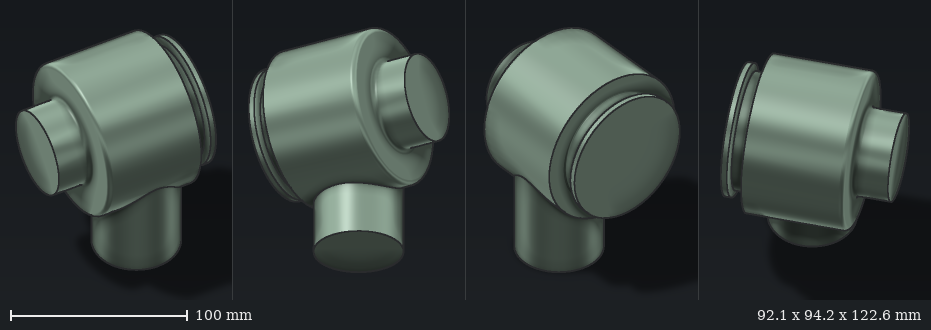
import cadquery as cq

body_diameter = 92.1
body_radius = body_diameter / 2
body_front = 21.0
body_back = 80.5
edge_radius = 3.0

pipe_radius = 25.5
total_height = 122.6
outlet_x = 17.2
outlet_y = 54.5
outlet_bottom = body_radius - total_height

total_depth = 94.2
ferrule_radius = 34.5
flange_radius = 38.7
flange_thickness = 3.5
flange_taper_depth = 1.6
ferrule_fillet = 1.0

taper_start = total_depth - flange_thickness - flange_taper_depth
rim_start = total_depth - flange_thickness


def make_turned_body():
    """Revolve the front pipe, drum and clamp flange about the Y axis."""
    half_section = (
        cq.Workplane("XY")
        .lineTo(pipe_radius, 0)
        .lineTo(pipe_radius, body_front - edge_radius)
        .radiusArc((pipe_radius + edge_radius, body_front), edge_radius)
        .lineTo(body_radius - edge_radius, body_front)
        .radiusArc((body_radius, body_front + edge_radius), -edge_radius)
        .lineTo(body_radius, body_back)
        .lineTo(ferrule_radius + ferrule_fillet, body_back)
        .radiusArc((ferrule_radius, body_back + ferrule_fillet), ferrule_fillet)
        .lineTo(ferrule_radius, taper_start)
        .lineTo(flange_radius, rim_start)
        .lineTo(flange_radius, total_depth)
        .lineTo(0, total_depth)
        .close()
    )
    return half_section.revolve(360, (0, 0, 0), (0, 1, 0))


def make_outlet():
    """Vertical pipe, offset from the drum axis and ending inside the drum."""
    return (
        cq.Workplane("XY", origin=(outlet_x, outlet_y, outlet_bottom))
        .circle(pipe_radius)
        .extrude(-outlet_bottom)
    )


result = make_turned_body().union(make_outlet())